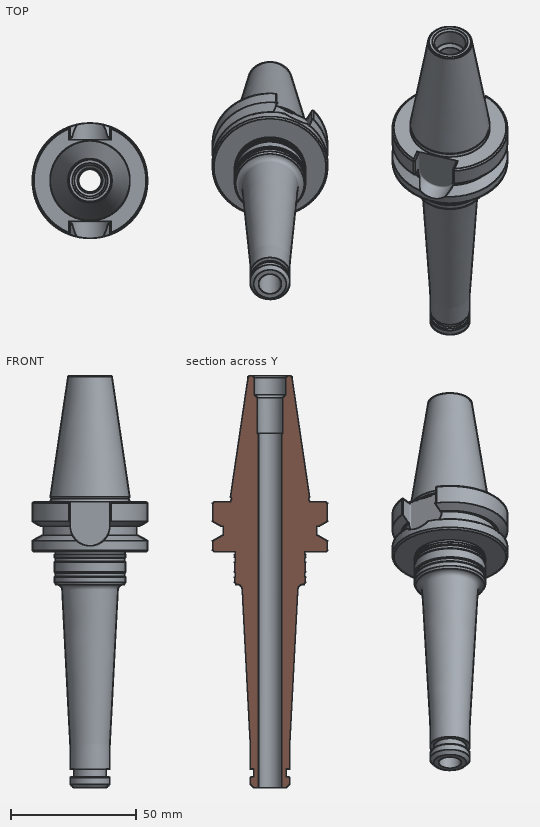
import cadquery as cq
import math

total_height = 164.4

taper_ratio = 7 / 24
gauge_diameter = 31.7
gauge_radius = gauge_diameter / 2
gauge_z = 116.0
taper_top_radius = gauge_radius - (total_height - gauge_z) * taper_ratio / 2
taper_top_chamfer = 0.5
relief_radius = 15.5
relief_z = 115.2
relief_foot_radius = 16.0

flange_radius = 23.0
flange_top_z = 114.1
flange_bottom_z = 94.0
flange_chamfer = 0.7
v_top_z = 106.2
v_bottom_z = 98.5
v_flank_angle = 30.0
v_flank_slope = math.tan(math.radians(v_flank_angle))
v_floor_radius = 18.7
v_floor_top_z = 104.2
v_floor_bottom_z = 100.8
v_upper_flank_radius = flange_radius - (v_top_z - v_floor_top_z) / v_flank_slope
v_lower_flank_radius = flange_radius - (v_floor_bottom_z - v_bottom_z) / v_flank_slope

collar_diameter = 28.5
collar_radius = collar_diameter / 2
collar_relief_radius = 14.0
collar_relief_z = 93.0
collar_top_z = 92.9
collar_bottom_z = 81.0
collar_chamfer_width = 0.58
collar_chamfer_height = 1.0
ring_groove_zs = (90.9, 85.0)
ring_groove_width = 2.1
ring_groove_floor_width = 1.2
ring_groove_depth = 0.3

shank_top_radius = 11.2
shank_fillet = 2.1
tip_diameter = 16.0
tip_radius = tip_diameter / 2
tip_top_z = 17.3
tip_bottom_z = 7.4
neck_diameter = 13.0
knob_top_z = 4.5
knob_top_chamfer = 0.5
knob_bottom_chamfer = 1.5

through_diameter = 9.0
thread_diameter = 10.0
thread_depth = 23.0
mouth_diameter = 12.5
mouth_depth = 7.5
mouth_chamfer = 0.8
thread_chamfer = (mouth_diameter - thread_diameter) / 2

slot_width = 15.8
slot_floor_y = 16.3
slot_arc_z = 104.4
slot_fillet = 0.5
slot_edge_chamfer = 0.7


def make_body():
    """Revolve the whole outer outline about Z, drawn from the top down."""
    outline = (
        cq.Workplane("XZ")
        .moveTo(0, total_height)
        .lineTo(taper_top_radius - taper_top_chamfer, total_height)
        .lineTo(taper_top_radius, total_height - taper_top_chamfer)
        .lineTo(gauge_radius, gauge_z)
        .lineTo(relief_radius, relief_z)
        .lineTo(relief_foot_radius, flange_top_z)
        .lineTo(flange_radius - flange_chamfer, flange_top_z)
        .lineTo(flange_radius, flange_top_z - flange_chamfer)
        .lineTo(flange_radius, v_top_z)
        .lineTo(v_upper_flank_radius, v_floor_top_z)
        .lineTo(v_floor_radius, v_floor_top_z)
        .lineTo(v_floor_radius, v_floor_bottom_z)
        .lineTo(v_lower_flank_radius, v_floor_bottom_z)
        .lineTo(flange_radius, v_bottom_z)
        .lineTo(flange_radius, flange_bottom_z + flange_chamfer)
        .lineTo(flange_radius - flange_chamfer, flange_bottom_z)
        .lineTo(collar_relief_radius, flange_bottom_z)
        .lineTo(collar_relief_radius, collar_relief_z)
        .lineTo(collar_radius, collar_top_z)
    )
    for groove_z in ring_groove_zs:
        outline = (
            outline.lineTo(collar_radius, groove_z + ring_groove_width / 2)
            .lineTo(collar_radius - ring_groove_depth, groove_z + ring_groove_floor_width / 2)
            .lineTo(collar_radius - ring_groove_depth, groove_z - ring_groove_floor_width / 2)
            .lineTo(collar_radius, groove_z - ring_groove_width / 2)
        )
    return (
        outline.lineTo(collar_radius, collar_bottom_z + collar_chamfer_height)
        .lineTo(collar_radius - collar_chamfer_width, collar_bottom_z)
        .lineTo(shank_top_radius + shank_fillet, collar_bottom_z)
        .radiusArc((shank_top_radius, collar_bottom_z - shank_fillet), -shank_fillet)
        .lineTo(tip_radius, tip_top_z)
        .lineTo(tip_radius, tip_bottom_z)
        .lineTo(neck_diameter / 2, tip_bottom_z)
        .lineTo(neck_diameter / 2, knob_top_z)
        .lineTo(tip_radius - knob_top_chamfer, knob_top_z)
        .lineTo(tip_radius, knob_top_z - knob_top_chamfer)
        .lineTo(tip_radius, knob_bottom_chamfer)
        .lineTo(tip_radius - knob_bottom_chamfer, 0)
        .lineTo(0, 0)
        .close()
        .revolve(360, (0, 0, 0), (0, 1, 0))
    )


def make_bore():
    """Through hole, threaded-size step and chamfered mouth as one revolved cutter."""
    thread_floor_z = total_height - thread_depth
    mouth_floor_z = total_height - mouth_depth
    return (
        cq.Workplane("XZ")
        .moveTo(0, 0)
        .lineTo(through_diameter / 2, 0)
        .lineTo(through_diameter / 2, thread_floor_z)
        .lineTo(thread_diameter / 2, thread_floor_z)
        .lineTo(thread_diameter / 2, mouth_floor_z - thread_chamfer)
        .lineTo(mouth_diameter / 2, mouth_floor_z)
        .lineTo(mouth_diameter / 2, total_height - mouth_chamfer)
        .lineTo(mouth_diameter / 2 + mouth_chamfer, total_height)
        .lineTo(0, total_height)
        .close()
        .revolve(360, (0, 0, 0), (0, 1, 0))
    )


def make_slot_cutter():
    """Round-bottomed slot on the -Y side, rounded where its wall meets the flat floor."""
    half_width = slot_width / 2
    return (
        cq.Workplane("XZ", origin=(0, -slot_floor_y, 0))
        .moveTo(-half_width, flange_top_z)
        .lineTo(-half_width, slot_arc_z)
        .threePointArc((0, slot_arc_z - half_width), (half_width, slot_arc_z))
        .lineTo(half_width, flange_top_z)
        .close()
        .extrude(flange_radius - slot_floor_y)
        .faces(">Y")
        .edges("not >Z")
        .fillet(slot_fillet)
    )


def make_slot_bevel():
    """Bevel the top and rim edges of the +X wall of the -Y slot on the upper flange."""
    wall_x = slot_width / 2
    bevel_x = wall_x + slot_edge_chamfer
    wall_rim_y = math.sqrt(flange_radius**2 - wall_x**2)
    bevel_rim_y = math.sqrt(flange_radius**2 - bevel_x**2)
    top_bevel = (
        cq.Workplane("XZ", origin=(0, -slot_floor_y, 0))
        .moveTo(wall_x, flange_top_z - slot_edge_chamfer)
        .lineTo(bevel_x, flange_top_z)
        .lineTo(wall_x, flange_top_z)
        .close()
        .extrude(flange_radius - slot_floor_y)
    )
    rim_bevel = (
        cq.Workplane("XY", origin=(0, 0, v_top_z))
        .moveTo(wall_x, slot_edge_chamfer - wall_rim_y)
        .lineTo(bevel_x, -bevel_rim_y)
        .lineTo(wall_x, -flange_radius)
        .close()
        .extrude(flange_top_z - v_top_z)
    )
    return top_bevel.union(rim_bevel)


bevel = make_slot_bevel()
slot = make_slot_cutter().union(bevel).union(bevel.mirror("YZ"))
result = make_body().cut(make_bore())
for turn in (0, 180):
    result = result.cut(slot.rotate((0, 0, 0), (0, 0, 1), turn))